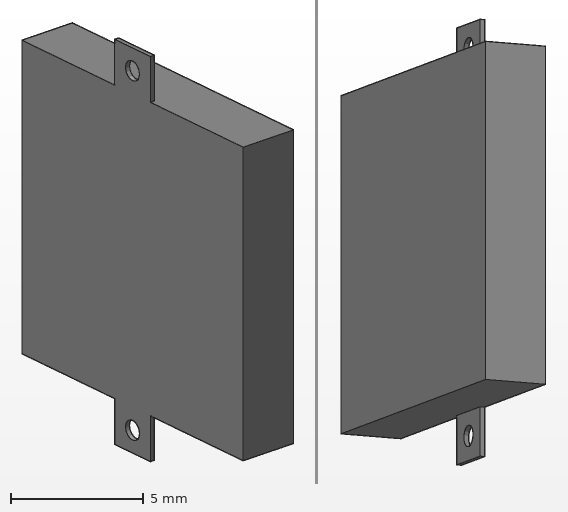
import cadquery as cq

body_side = 13.0
body_depth = 2.5

strip_length = 16.8
tab_width = 2.1
tab_thickness = 0.2
hole_diameter = 0.8

tab_length = (strip_length - body_side) / 2
hole_height = body_side / 2 + tab_length / 2


def front_plate(width, depth, height):
    """Plate centred in X and Z, reaching from Y = 0 to Y = depth."""
    return cq.Workplane("XY").box(width, depth, height, centered=(True, False, True))


body = front_plate(body_side, body_depth, body_side)
strip = front_plate(tab_width, tab_thickness, strip_length)
result = body.union(strip)

tab_holes = (
    cq.Workplane("XZ")
    .pushPoints([(0, -hole_height), (0, hole_height)])
    .circle(hole_diameter / 2)
    .extrude(-tab_thickness)
)
result = result.cut(tab_holes)